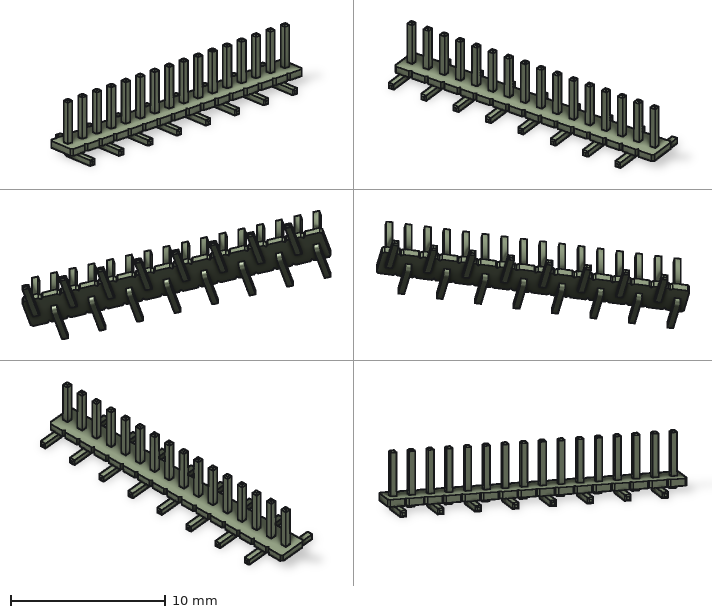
import cadquery as cq

pin_count = 16
row_length = 20.32
pitch = row_length / pin_count
cell_centers = [(index - (pin_count - 1) / 2) * pitch for index in range(pin_count)]

strip_width = 2.13
strip_height = 0.49
corner_chamfer = 0.15

overall_width = 4.9
wire = 0.4
tail_reach = overall_width / 2
pin_height = 3.0
tip_taper = 0.1
tip_size = wire - 2 * tip_taper

strip_bottom = wire
strip_top = strip_bottom + strip_height
pin_top = strip_top + pin_height


def make_strip():
    """Row of equal cells whose chamfered corners meet as V notches along both long sides."""
    cell = (
        cq.Workplane("XY")
        .box(strip_width, pitch, strip_height, centered=(True, True, False))
        .edges("|Z")
        .chamfer(corner_chamfer)
        .translate((0, 0, strip_bottom))
    )
    strip = cq.Workplane("XY")
    for center_y in cell_centers:
        strip = strip.union(cell.translate((0, center_y, 0)))
    return strip


def make_tip(base_plane):
    """Truncated pyramid on the end of the square wire, growing along the plane's normal."""
    return (
        cq.Workplane(base_plane)
        .rect(wire, wire)
        .workplane(offset=tip_taper)
        .rect(tip_size, tip_size)
        .loft(ruled=True)
    )


def make_contact():
    """L-shaped square wire: an upright pin and a tail towards +X, rounded outside the bend."""
    half = wire / 2
    tail_end = tail_reach - tip_taper
    pin_end = pin_top - tip_taper
    wire_body = (
        cq.Workplane("XZ")
        .moveTo(-half, pin_end)
        .lineTo(-half, wire)
        .radiusArc((half, 0), -wire)
        .lineTo(tail_end, 0)
        .lineTo(tail_end, wire)
        .lineTo(half, wire)
        .lineTo(half, pin_end)
        .close()
        .extrude(half, both=True)
    )
    pin_tip = make_tip(cq.Plane((0, 0, pin_end), (1, 0, 0), (0, 0, 1)))
    tail_tip = make_tip(cq.Plane((tail_end, 0, half), (0, 1, 0), (1, 0, 0)))
    return wire_body.union(pin_tip).union(tail_tip)


right_contact = make_contact()
left_contact = right_contact.mirror("YZ")

result = make_strip()
for index, center_y in enumerate(cell_centers):
    contact = right_contact if index % 2 == 0 else left_contact
    result = result.union(contact.translate((0, center_y, 0)))